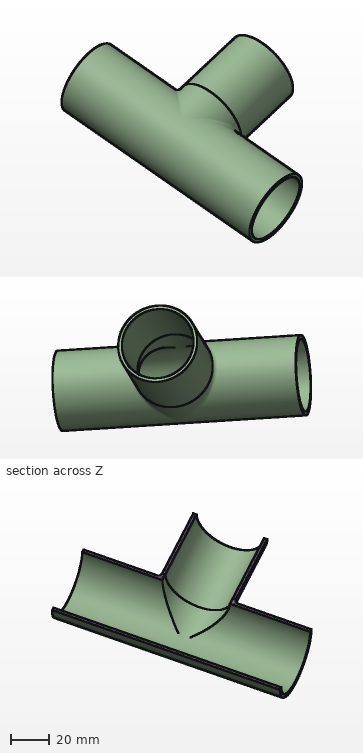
import cadquery as cq

run_length = 130.0
outer_diameter = 42.4
bore_diameter = 38.4
branch_reach = 65.0
crotch_radius = 2.0
joint_offset = 23.3

outer_radius = outer_diameter / 2
margin = 1.3
axis_gap = 0.1


def run_cylinder(diameter):
    """Cylinder along X, centred on the origin."""
    return cq.Workplane("YZ").circle(diameter / 2).extrude(run_length / 2, both=True)


def branch_cylinder(diameter, start, end):
    """Cylinder along Y, from start to end."""
    return cq.Workplane("XZ", origin=(0, start, 0)).circle(diameter / 2).extrude(start - end)


def make_tee():
    """Run pipe with a short branch neck, filleted at the crotch and bored through."""
    neck = branch_cylinder(outer_diameter, 0, branch_reach)
    body = run_cylinder(outer_diameter).union(neck)
    reach = outer_radius + margin
    crotch_box = cq.selectors.BoxSelector((-reach, axis_gap, -reach), (reach, reach, reach))
    body = body.edges(crotch_box).fillet(crotch_radius)
    body = body.cut(branch_cylinder(2 * outer_diameter, joint_offset, branch_reach + margin))
    body = body.cut(run_cylinder(bore_diameter))
    return body.cut(branch_cylinder(bore_diameter, 0, branch_reach))


def make_branch_pipe():
    """Plain tube butted against the end of the tee neck."""
    outside = branch_cylinder(outer_diameter, joint_offset, branch_reach)
    return outside.cut(branch_cylinder(bore_diameter, joint_offset, branch_reach))


tee = make_tee()
branch_pipe = make_branch_pipe()
result = cq.Compound.makeCompound([tee.solids().val(), branch_pipe.solids().val()])